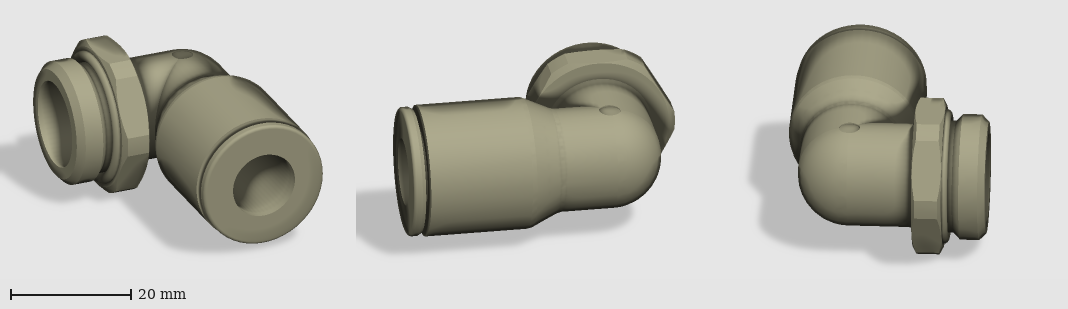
import cadquery as cq
import math

elbow_radius = 8.6
bore_radius = 5.6

cone_start = 9.2
cone_end = 14.4
socket_radius = 11.0
socket_end = 31.95
cone_blend_radius = 2.0
collar_neck_radius = 7.6
collar_start = 32.7
collar_end = 34.8
collar_radius = 10.8
collar_chamfer_depth = 0.4
collar_chamfer_length = 0.6
collar_round = 0.53

flare_start = 9.95
flare_radius = 1.4
hex_start = 10.95
hex_end = 15.9
hex_across_flats = 24.0
hex_across_corners = hex_across_flats / math.cos(math.radians(30))
hex_turned_radius = 13.0
hex_chamfer_width = 1.1
hex_chamfer_length = 0.55
seal_radius = 11.23
thread_radius = 10.45
thread_chamfer = 1.15
thread_neck_radius = thread_radius - thread_chamfer
thread_neck_end = 17.6
thread_end = 23.03
thread_bore_radius = 7.35
thread_bore_depth = 7.0

badge_radius = 1.75
badge_floor_height = 8.25


def cylinder_along_x(radius, start, end):
    return cq.Workplane("YZ", origin=(start, 0, 0)).circle(radius).extrude(end - start)


def cylinder_along_y(radius, start, end):
    """Round bar on the threaded leg; start and end are distances along -Y."""
    return cq.Workplane("XZ", origin=(0, -start, 0)).circle(radius).extrude(end - start)


def make_elbow():
    """Two equal legs meeting in a mitre, with a ball closing the outer corner."""
    ball = cq.Workplane("XY").sphere(elbow_radius)
    socket_leg = cylinder_along_x(elbow_radius, 0, cone_start)
    thread_leg = cylinder_along_y(elbow_radius, 0, hex_start)
    return ball.union(socket_leg).union(thread_leg)


def make_socket():
    """Straight leg widening through a blended cone into the tube socket."""
    profile = [
        (0, 0),
        (0, elbow_radius),
        (cone_start, elbow_radius),
        (cone_end, socket_radius),
        (socket_end, socket_radius),
        (socket_end, 0),
    ]
    body = cq.Workplane("XY").polyline(profile).close().revolve(360, (0, 0, 0), (1, 0, 0))
    cone_rims = body.edges("%CIRCLE").filter(
        lambda edge: elbow_radius < edge.Center().x < cone_end + cone_blend_radius
    )
    return cone_rims.fillet(cone_blend_radius)


def make_release_collar():
    """Flanged sleeve standing out of the socket."""
    neck = cylinder_along_x(collar_neck_radius, socket_end, collar_start)
    flange = cylinder_along_x(collar_radius, collar_start, collar_end)
    flange = flange.faces(">X").edges().fillet(collar_round)
    flange = flange.faces("<X").edges().chamfer(collar_chamfer_length, collar_chamfer_depth)
    return neck.union(flange)


def make_base_flare():
    """Concave flare where the elbow leg runs into the hexagon."""
    flare_length = hex_start - flare_start

    def flared_radius(distance):
        return elbow_radius + flare_radius - math.sqrt(flare_radius**2 - distance**2)

    return (
        cq.Workplane("XY")
        .moveTo(0, -flare_start)
        .lineTo(elbow_radius, -flare_start)
        .threePointArc(
            (flared_radius(flare_length / 2), -flare_start - flare_length / 2),
            (flared_radius(flare_length), -hex_start),
        )
        .lineTo(0, -hex_start)
        .close()
        .revolve(360, (0, 0, 0), (0, 1, 0))
    )


def make_hexagon():
    """Spanner hexagon with flats facing +Z and -Z and turned, chamfered corners."""
    prism = (
        cq.Workplane("XZ", origin=(0, -hex_start, 0))
        .polygon(6, hex_across_corners)
        .extrude(hex_end - hex_start)
    )
    turned = cylinder_along_y(hex_turned_radius, hex_start, hex_end)
    turned = turned.faces(">Y").edges().chamfer(hex_chamfer_length, hex_chamfer_width)
    turned = turned.faces("<Y").edges().chamfer(hex_chamfer_length, hex_chamfer_width)
    return prism.intersect(turned)


def make_seal():
    """O-ring around the neck, half sunk into the end face of the hexagon."""
    section_radius = (seal_radius - thread_neck_radius) / 2
    return (
        cq.Workplane("XY")
        .moveTo(seal_radius - section_radius, -hex_end)
        .circle(section_radius)
        .revolve(360, (0, 0, 0), (0, 1, 0))
    )


def make_thread_spigot():
    """Undercut neck and chamfered thread envelope."""
    neck = cylinder_along_y(thread_neck_radius, hex_end, thread_neck_end)
    thread = cylinder_along_y(thread_radius, thread_neck_end, thread_end)
    thread = thread.edges().chamfer(thread_chamfer)
    return neck.union(thread)


def make_passage():
    """Bent bore through both legs with a wider mouth in the threaded end."""
    ball = cq.Workplane("XY").sphere(bore_radius)
    socket_bore = cylinder_along_x(bore_radius, 0, collar_end)
    thread_bore = cylinder_along_y(bore_radius, 0, thread_end)
    mouth = cylinder_along_y(thread_bore_radius, thread_end - thread_bore_depth, thread_end)
    return ball.union(socket_bore).union(thread_bore).union(mouth)


def make_badge_recess():
    """Shallow flat-floored pocket, cut up to the crown of the elbow."""
    return (
        cq.Workplane("XY", origin=(0, 0, badge_floor_height))
        .circle(badge_radius)
        .extrude(elbow_radius - badge_floor_height)
    )


result = (
    make_elbow()
    .union(make_socket())
    .union(make_release_collar())
    .union(make_base_flare())
    .union(make_hexagon())
    .union(make_seal())
    .union(make_thread_spigot())
    .cut(make_passage())
    .cut(make_badge_recess())
)